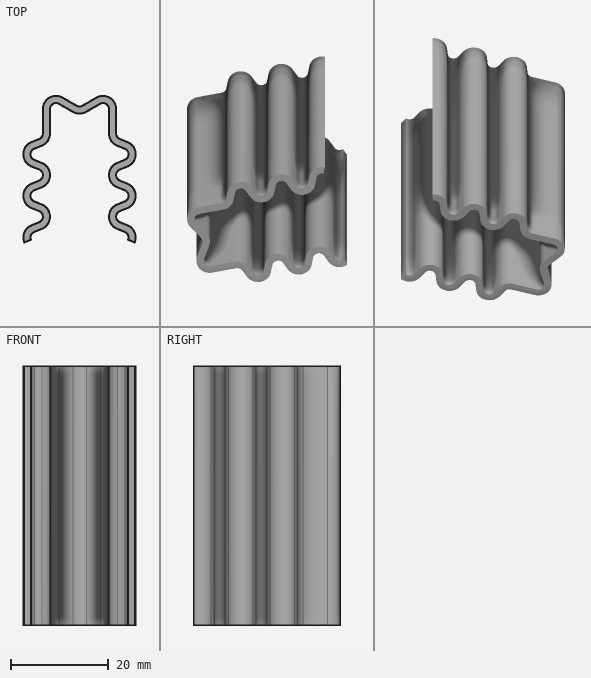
import cadquery as cq
import math

LENGTH = 53.0
THICKNESS = 1.5
BEND_RADIUS = 1.95
OVERALL_WIDTH = 23.0
OVERALL_DEPTH = 30.0
CROWN_WIDTH = 15.0
CROWN_SLOPE = 30.0
WALL_LENGTH = 5.0
HALF_PITCH = 4.25
WAVE_BENDS = 6

CONVEX = 1
CONCAVE = -1

HALF_THICKNESS = THICKNESS / 2
OUTER_RADIUS = BEND_RADIUS + HALF_THICKNESS

corner_x = -(CROWN_WIDTH / 2 - OUTER_RADIUS)
corner_y = -OUTER_RADIUS
first_wave_y = corner_y - WALL_LENGTH
inward_x = -(CROWN_WIDTH / 2 - THICKNESS + OUTER_RADIUS)
outward_x = -(OVERALL_WIDTH / 2 - OUTER_RADIUS)

slope = math.radians(CROWN_SLOPE)
v_y = corner_y + 2 * BEND_RADIUS / math.cos(slope) + corner_x * math.tan(slope)

centre_step_x = inward_x - outward_x
centre_distance = math.hypot(centre_step_x, HALF_PITCH)
wave_slope = math.degrees(
    math.acos(2 * BEND_RADIUS / centre_distance) - math.atan2(centre_step_x, HALF_PITCH)
)
wave_normal = 90 - wave_slope

last_wave_y = first_wave_y - (WAVE_BENDS - 1) * HALF_PITCH
tip_angle = math.degrees(math.asin((OVERALL_DEPTH + last_wave_y) / OUTER_RADIUS))


def strip_bends():
    """Bends of the left half, from the V to the tip: centre, sense, start and end angle."""
    bends = [
        ((0, v_y), CONCAVE, 270, 270 - CROWN_SLOPE),
        ((corner_x, corner_y), CONVEX, 90 - CROWN_SLOPE, 180),
    ]
    for index in range(WAVE_BENDS):
        y = first_wave_y - index * HALF_PITCH
        if index % 2 == 0:
            start = 0 if index == 0 else wave_normal
            bends.append(((inward_x, y), CONCAVE, start, -wave_normal))
        else:
            is_last = index == WAVE_BENDS - 1
            end = 180 + (tip_angle if is_last else wave_normal)
            bends.append(((outward_x, y), CONVEX, 180 - wave_normal, end))
    return bends


def point_on_arc(centre, radius, angle):
    turn = math.radians(angle)
    return (centre[0] + radius * math.cos(turn), centre[1] + radius * math.sin(turn))


def side_arcs(offset):
    """Start, middle and end points of each bend on the face at this offset from the centreline."""
    arcs = []
    for centre, sense, start, end in strip_bends():
        radius = BEND_RADIUS + sense * offset
        angles = (start, (start + end) / 2, end)
        arcs.append([point_on_arc(centre, radius, angle) for angle in angles])
    return arcs


def half_clip():
    outside = side_arcs(HALF_THICKNESS)
    inside = [arc[::-1] for arc in reversed(side_arcs(-HALF_THICKNESS))]
    arcs = outside + inside
    profile = cq.Workplane("XY").moveTo(*arcs[0][0]).threePointArc(*arcs[0][1:])
    for start, middle, end in arcs[1:]:
        profile = profile.lineTo(*start).threePointArc(middle, end)
    return profile.close().extrude(LENGTH)


left_half = half_clip()
result = left_half.union(left_half.mirror("YZ")).clean()